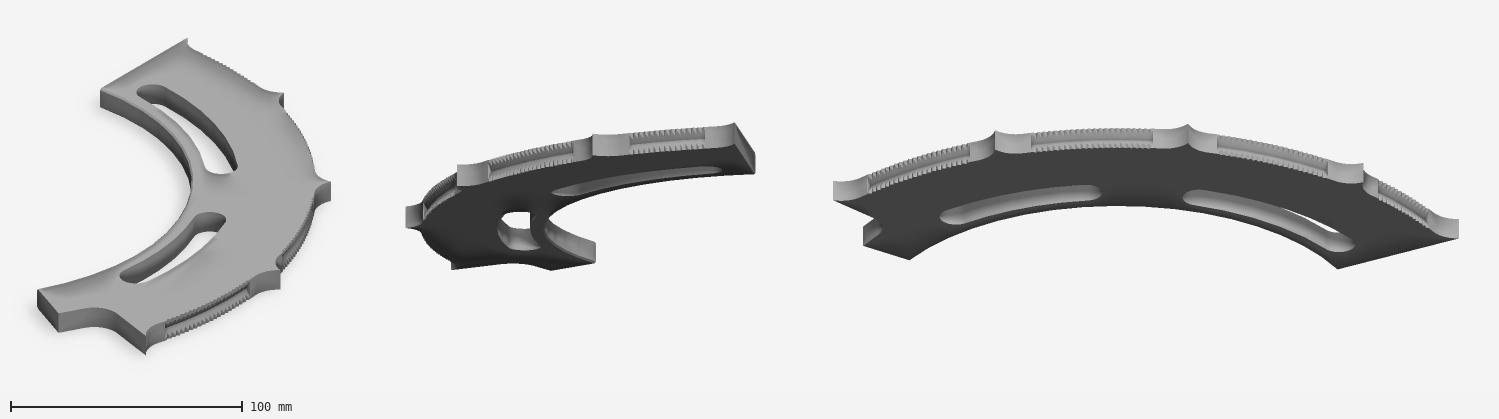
import cadquery as cq
import math

overall_length = 245.0
thickness = 9.5
bore_radius = 106.5
rim_radius = 160.0
bore_chamfer = 0.7

spike_tip_radius = 166.5
spike_flank_radius = 12.2
first_spike_angle = 9.4
spike_pitch_angle = 29.0
full_spans = 3
first_tip_x = spike_tip_radius * math.cos(math.radians(first_spike_angle))
last_tip_x = first_tip_x - overall_length
end_angle = math.degrees(math.acos(last_tip_x / spike_tip_radius))
spike_angles = [first_spike_angle + i * spike_pitch_angle for i in range(full_spans + 1)] + [end_angle]

tab_outer_x = 131.0
tab_fillet = 11.5

slot_radius = 120.0
slot_width = 14.2
slot_end_angles = [(21.4, 50.3), (73.9, 109.5)]

grip_end_margin = 5.0
groove_depth = 2.0
groove_height = 7.3
notch_pitch = 2.5
notch_width = 2.2
notch_depth = 0.85
cutter_overshoot = 0.5


def polar(radius, angle):
    """Point at a radius and an angle in degrees."""
    return (radius * math.cos(math.radians(angle)), radius * math.sin(math.radians(angle)))


def angle_to_flank_foot():
    """Angle from a spike tip to the point where its concave flank meets the rim tangentially."""
    centre_radius = rim_radius + spike_flank_radius
    foot_cos = (centre_radius**2 + spike_tip_radius**2 - spike_flank_radius**2) / (
        2 * centre_radius * spike_tip_radius
    )
    return math.degrees(math.acos(foot_cos))


flank_angle = angle_to_flank_foot()


def flank_middle(tip_angle, side):
    """Middle point of the concave arc on one side (+1 or -1) of a spike tip."""
    centre_x, centre_y = polar(rim_radius + spike_flank_radius, tip_angle + side * flank_angle)
    tip_x, tip_y = polar(spike_tip_radius, tip_angle)
    foot_x, foot_y = polar(rim_radius, tip_angle + side * flank_angle)
    toward_x = (tip_x + foot_x) / 2 - centre_x
    toward_y = (tip_y + foot_y) / 2 - centre_y
    stretch = spike_flank_radius / math.hypot(toward_x, toward_y)
    return (centre_x + toward_x * stretch, centre_y + toward_y * stretch)


def sector_plate():
    """Plate with the spiked rim, the tab and the chamfered bore."""
    shoulder_y = tab_outer_x * math.tan(math.radians(first_spike_angle))
    outline = (
        cq.Workplane("XY")
        .moveTo(bore_radius, 0)
        .lineTo(tab_outer_x, 0)
        .lineTo(tab_outer_x, shoulder_y)
        .lineTo(*polar(spike_tip_radius, first_spike_angle))
    )
    for start, end in zip(spike_angles, spike_angles[1:]):
        outline = (
            outline.threePointArc(flank_middle(start, 1), polar(rim_radius, start + flank_angle))
            .threePointArc(polar(rim_radius, (start + end) / 2), polar(rim_radius, end - flank_angle))
            .threePointArc(flank_middle(end, -1), polar(spike_tip_radius, end))
        )
    plate = (
        outline.lineTo(*polar(bore_radius, end_angle))
        .threePointArc(polar(bore_radius, end_angle / 2), (bore_radius, 0))
        .close()
        .extrude(thickness)
    )
    shoulder_corner = cq.selectors.NearestToPointSelector((tab_outer_x, shoulder_y, thickness / 2))
    plate = plate.edges("|Z").edges(shoulder_corner).fillet(tab_fillet)
    bore_middle = polar(bore_radius, end_angle / 2)
    for z in (0, thickness):
        bore_edge = cq.selectors.NearestToPointSelector((*bore_middle, z))
        plate = plate.edges(bore_edge).chamfer(bore_chamfer)
    return plate


def arc_slot(start, end):
    """Cutter for a round-ended slot along the slot circle."""
    inner = slot_radius - slot_width / 2
    outer = slot_radius + slot_width / 2
    middle = (start + end) / 2
    end_cap_angle = math.degrees(slot_width / 2 / slot_radius)
    return (
        cq.Workplane("XY")
        .moveTo(*polar(outer, start))
        .threePointArc(polar(outer, middle), polar(outer, end))
        .threePointArc(polar(slot_radius, end + end_cap_angle), polar(inner, end))
        .threePointArc(polar(inner, middle), polar(inner, start))
        .threePointArc(polar(slot_radius, start - end_cap_angle), polar(outer, start))
        .close()
        .extrude(thickness)
    )


def v_profile(plane, depth, width):
    """Closed V with its point inside the rim and its mouth of the given width on the rim."""
    half_mouth = width / 2 * (depth + cutter_overshoot) / depth
    mouth_radius = rim_radius + cutter_overshoot
    return (
        cq.Workplane(plane)
        .polyline([(rim_radius - depth, 0), (mouth_radius, -half_mouth), (mouth_radius, half_mouth)])
        .close()
    )


def rim_groove(start, end):
    """V-groove cutter along the rim at mid height."""
    return (
        v_profile("XZ", groove_depth, groove_height)
        .revolve(end - start, (0, 0, 0), (0, 1, 0))
        .rotate((0, 0, 0), (0, 0, 1), start)
        .translate((0, 0, thickness / 2))
    )


def rim_notches(start, end):
    """Upright V-notch cutters, evenly spaced and centred between two angles."""
    pitch_angle = math.degrees(notch_pitch / rim_radius)
    count = int((end - start) / pitch_angle)
    first = (start + end - (count - 1) * pitch_angle) / 2
    notch = v_profile("XY", notch_depth, notch_width).extrude(thickness)
    return [notch.rotate((0, 0, 0), (0, 0, 1), first + i * pitch_angle) for i in range(count)]


result = sector_plate()
for slot_start, slot_end in slot_end_angles:
    result = result.cut(arc_slot(slot_start, slot_end))
for tip_angle, next_tip_angle in zip(spike_angles, spike_angles[1:]):
    grip_start = tip_angle + grip_end_margin
    grip_end = next_tip_angle - grip_end_margin
    result = result.cut(rim_groove(grip_start, grip_end))
    for notch_cutter in rim_notches(grip_start, grip_end):
        result = result.cut(notch_cutter)